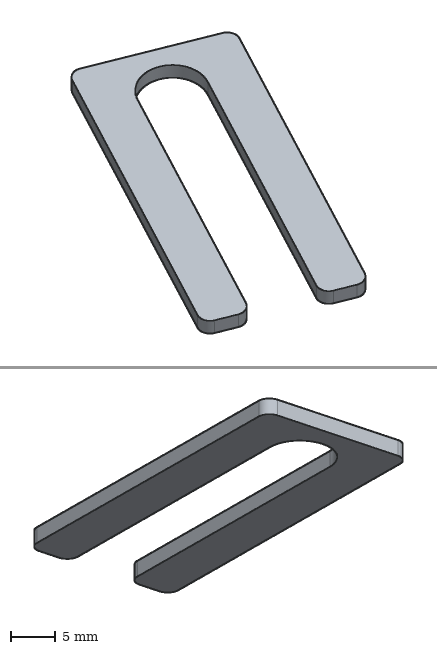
import cadquery as cq

length = 44.0
width = 20.0
thickness = 2.0

slot_width = 8.4
back_web = 2.75
slot_radius = slot_width / 2
slot_center_x = -length / 2 + back_web + slot_radius

corner_radius = 1.5

plate = cq.Workplane("XY").box(length, width, thickness)

slot_run = length / 2 - slot_center_x
slot_straight = (
    cq.Workplane("XY")
    .center(slot_center_x + slot_run / 2, 0)
    .rect(slot_run, slot_width)
    .extrude(thickness, both=True)
)
slot_end = (
    cq.Workplane("XY")
    .center(slot_center_x, 0)
    .circle(slot_radius)
    .extrude(thickness, both=True)
)
shim = plate.cut(slot_straight).cut(slot_end)

result = shim.edges("|Z").edges("<X or >X").fillet(corner_radius)